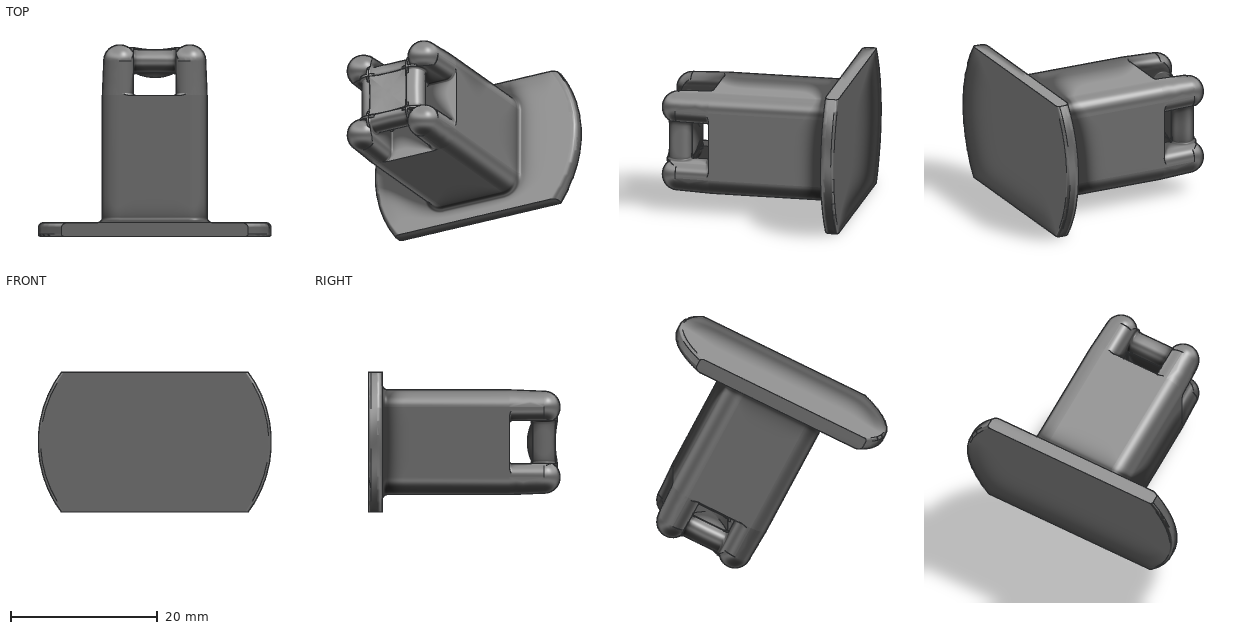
import cadquery as cq
import math

flange_radius = 15.88
flange_height = 19.05
flange_thickness = 1.9
front_rim_radius = 0.35
back_rim_radius = 0.73

shank_width = 14.3
shank_corner_radius = 2.38
shank_end = 19.2
shank_root_radius = 0.7

post_inner_face = 2.92
post_inner_radius = 1.55
post_tip_radius = 2.2
post_foot_radius = 0.32
overall_length = 26.1

bar_radius = 1.52
bar_flare_radius = 0.32
bar_offset = 3.25

hub_half = 2.85
hub_bottom = 21.62
hub_bottom_rim = 22.35
hub_top = 25.43
hub_top_rim = 25.72

shank_half = shank_width / 2
corner_center = shank_half - shank_corner_radius
cap_plane = overall_length - post_tip_radius


def plane_at(y):
    """XZ plane at height y, with its normal along +Y and local axes X and -Z."""
    return cq.Workplane("XZ", origin=(0, y, 0)).transformed(rotate=(180, 0, 0))


def make_flange():
    disc = plane_at(0).circle(flange_radius).extrude(flange_thickness)
    disc = disc.faces("<Y").edges().fillet(front_rim_radius)
    disc = disc.faces(">Y").edges().fillet(back_rim_radius)
    slab = cq.Workplane("XY").box(2 * flange_radius, 2 * flange_thickness, flange_height)
    return disc.intersect(slab)


def make_shank():
    length = shank_end - flange_thickness
    shank = plane_at(flange_thickness).rect(shank_width, shank_width).extrude(length)
    return shank.edges("|Y").fillet(shank_corner_radius)


def post_section(y, outer_radius):
    """Rounded square wire of one post, its outer corner concentric with the shank corner.

    The corner nearest the Y axis stays sharp, since the bars meet there.
    """
    low = post_inner_face
    high = corner_center + outer_radius
    r = post_inner_radius
    bend = r * (1 - math.sqrt(0.5))
    tip = corner_center + outer_radius * math.sqrt(0.5)
    return (
        plane_at(y)
        .moveTo(low, low)
        .lineTo(high - r, low)
        .threePointArc((high - bend, low + bend), (high, low + r))
        .lineTo(high, corner_center)
        .threePointArc((tip, tip), (corner_center, high))
        .lineTo(low + r, high)
        .threePointArc((low + bend, high - bend), (low, high - r))
        .lineTo(low, low)
        .close()
        .wire()
        .val()
    )


def make_post():
    """Post at +X, -Z: tapered shaft with a tip rounded by a ball."""
    base = post_section(shank_end, shank_corner_radius)
    top = post_section(cap_plane, post_tip_radius)
    shaft = cq.Workplane(cq.Solid.makeLoft([base, top], True))
    stub = cq.Workplane(cq.Solid.extrudeLinear(top, [], cq.Vector(0, post_tip_radius, 0)))
    ball = cq.Workplane("XY").sphere(post_tip_radius)
    ball = ball.translate((corner_center, cap_plane, -corner_center))
    return shaft.union(stub.intersect(ball))


def make_bar():
    """Bar along X on the +Z side, flaring at the post faces and meeting the next bar at its axis."""
    flare = bar_flare_radius
    end_radius = bar_radius + flare
    flare_start = post_inner_face - flare
    arc_x = flare_start + flare * math.sqrt(0.5)
    arc_y = end_radius - flare * math.sqrt(0.5)
    half_bar = (
        cq.Workplane("XY")
        .lineTo(0, bar_radius)
        .lineTo(flare_start, bar_radius)
        .threePointArc((arc_x, arc_y), (post_inner_face, end_radius))
        .lineTo(bar_offset, end_radius)
        .lineTo(bar_offset, 0)
        .close()
        .revolve(360, (0, 0, 0), (1, 0, 0))
    )
    bar = half_bar.union(half_bar.mirror("YZ"))
    return bar.translate((0, cap_plane, bar_offset))


def make_hub():
    """Square block whose underside bulges and whose top is dished along both X and Z."""
    along_z = (
        cq.Workplane("XY")
        .moveTo(-hub_half, hub_bottom_rim)
        .threePointArc((0, hub_bottom), (hub_half, hub_bottom_rim))
        .lineTo(hub_half, hub_top_rim)
        .threePointArc((0, hub_top), (-hub_half, hub_top_rim))
        .close()
        .extrude(hub_half, both=True)
    )
    return along_z.intersect(along_z.rotate((0, 0, 0), (0, 1, 0), 90))


def in_box(half_size, y):
    """Selector for items centred near height y and within half_size of the Y axis in X and Z."""
    margin = 0.03
    reach = half_size + margin
    return cq.selectors.BoxSelector((-reach, y - margin, -reach), (reach, y + margin, reach))


body = make_flange().union(make_shank())
body = body.edges(in_box(shank_half, flange_thickness)).fillet(shank_root_radius)

post = make_post()
for quarter in range(4):
    body = body.union(post.rotate((0, 0, 0), (0, 1, 0), 90 * quarter))
body = body.edges(in_box(corner_center, shank_end)).fillet(post_foot_radius)

bar = make_bar()
for quarter in range(4):
    body = body.union(bar.rotate((0, 0, 0), (0, 1, 0), 90 * quarter))

result = body.union(make_hub())